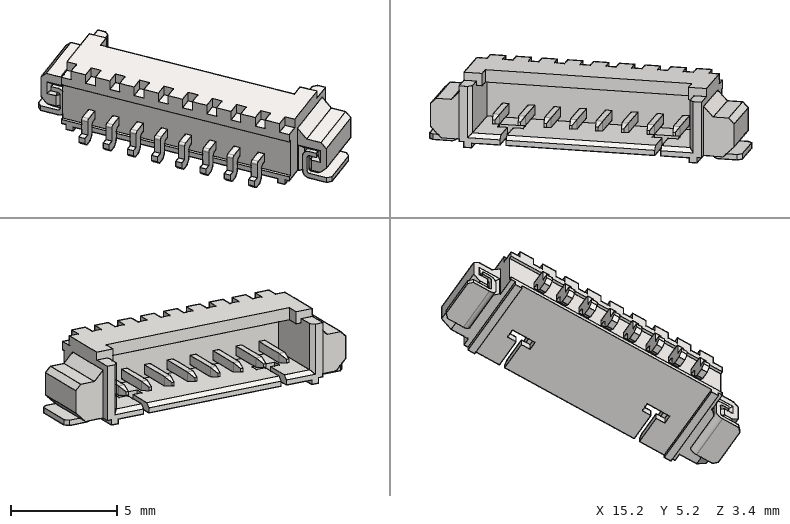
import cadquery as cq


CUT_MARGIN = 0.15
PICK_RADIUS = 0.02

TOTAL_WIDTH = 15.15
BODY_WIDTH = 11.75
BODY_DEPTH = 4.2
BODY_HEIGHT = 3.4
BODY_BOTTOM = 0.23
END_BOTTOM = 0.27
REAR_STEP_Y = 3.21
REAR_STEP_Z = 3.0
FRONT_RECESS = 0.14
UPPER_LIP_Z = 2.48
LOWER_LIP_Z = 0.5

CAVITY_FRONT_Y = 1.06
FLOOR_Z = 0.68
ROOF_UNDERSIDE_Z = 2.79
ROOF_EDGE_Y = 2.56
ROOF_OPENING_WIDTH = 10.0
END_WALL = 0.6
MOUTH_CHAMFER = 0.2

STEM_WIDTH = 0.29
STEM_FRONT_Y = 2.71
WINDOW_FRONT_Y = 2.27

CONTACT_COUNT = 8
PITCH = 1.25
CONTACT_WIDTH = 0.32
BLADE_BOTTOM = 0.9
BLADE_TOP = 1.36
BLADE_SHOULDER_Y = 2.95
BLADE_TIP_Y = 3.48
TIP_WIDTH = 0.12
TIP_HEIGHT = 0.18
TAIL_END_Y = -1.0
LEG_FRONT_Y = -0.68
LEG_BACK_Y = -0.18
TAIL_FOOT_Z = 0.5
TAIL_CHAMFER = 0.21
BEND_OUTER = 0.12
BEND_INNER = 0.17

NOTCH_WIDTH = 0.5
NOTCH_DEPTH_Y = 0.64
NOTCH_DEPTH_Z = 0.48

FOOT_INNER_X = 5.27
FOOT_OUTER_X = 5.65

WING_FRONT_Y = 0.95
WING_BACK_Y = 3.8
WING_OUTER_X = 7.36
WING_TOP = 2.2
WING_ROOT_TOP = 2.68
WING_RAMP_X = 6.35
WING_TOP_CHAMFER = 0.27
WING_SLOPE_Z = 0.8

TAB_BACK_Y = 3.25
TAB_THICKNESS = 0.24
TAB_FOOT_THICKNESS = 0.27
TAB_INNER_X = 6.14
TAB_HOOK_X = 6.85
TAB_HOOK_TOP = 1.52
TAB_BEND_OUTER = 0.35
TAB_BEND_INNER = 0.12
TAB_CORNER_CHAMFER = 0.2
LEAD_IN = 0.21

HALF_BODY = BODY_WIDTH / 2
HALF_TOTAL = TOTAL_WIDTH / 2
HALF_SPAN = (CONTACT_COUNT - 1) * PITCH / 2
contact_positions = [i * PITCH - HALF_SPAN for i in range(CONTACT_COUNT)]


def box(x_range, y_range, z_range):
    """Box given by its low and high limits on each axis."""
    (x0, x1), (y0, y1), (z0, z1) = x_range, y_range, z_range
    return cq.Workplane("XY").box(x1 - x0, y1 - y0, z1 - z0, centered=False).translate((x0, y0, z0))


def edge_near(x, y, z):
    """Selector for the edge whose midpoint lies at the given point."""
    return cq.selectors.BoxSelector(
        (x - PICK_RADIUS, y - PICK_RADIUS, z - PICK_RADIUS),
        (x + PICK_RADIUS, y + PICK_RADIUS, z + PICK_RADIUS),
    )


def both_sides(shape):
    """The +X shape together with its mirror image on -X."""
    return shape.union(shape.mirror("YZ"))


def make_shell():
    """Housing outline with lips and rear step, extruded across the width."""
    side_outline = [
        (0, BODY_BOTTOM),
        (BODY_DEPTH, BODY_BOTTOM),
        (BODY_DEPTH, REAR_STEP_Z),
        (REAR_STEP_Y, REAR_STEP_Z),
        (REAR_STEP_Y, BODY_HEIGHT),
        (0, BODY_HEIGHT),
        (0, UPPER_LIP_Z),
        (FRONT_RECESS, UPPER_LIP_Z),
        (FRONT_RECESS, LOWER_LIP_Z),
        (0, LOWER_LIP_Z),
    ]
    shell = cq.Workplane("YZ").polyline(side_outline).close().extrude(HALF_BODY, both=True)
    end_relief = box(
        (FOOT_OUTER_X, HALF_BODY + CUT_MARGIN),
        (-CUT_MARGIN, BODY_DEPTH + CUT_MARGIN),
        (0, END_BOTTOM),
    )
    foot = box((FOOT_INNER_X, FOOT_OUTER_X), (0, BODY_DEPTH), (0, LOWER_LIP_Z))
    return shell.cut(both_sides(end_relief)).union(both_sides(foot))


def make_cavity():
    """Mating cavity, the opening in the roof, and the flared mouth."""
    half_cavity = HALF_BODY - END_WALL
    rear = BODY_DEPTH + CUT_MARGIN
    above = BODY_HEIGHT + CUT_MARGIN
    half_roof_opening = ROOF_OPENING_WIDTH / 2
    inside = box((-half_cavity, half_cavity), (CAVITY_FRONT_Y, rear), (FLOOR_Z, ROOF_UNDERSIDE_Z))
    roof_opening = box((-half_roof_opening, half_roof_opening), (ROOF_EDGE_Y, rear), (FLOOR_Z, above))
    rear_opening = box((-half_cavity, half_cavity), (REAR_STEP_Y, rear), (FLOOR_Z, above))
    mouth_width = 2 * (half_cavity + MOUTH_CHAMFER)
    mouth_bottom = FLOOR_Z - MOUTH_CHAMFER
    mouth_top = above + MOUTH_CHAMFER
    mouth_flare = (
        cq.Workplane("XZ", origin=(0, BODY_DEPTH, (mouth_bottom + mouth_top) / 2))
        .rect(mouth_width, mouth_top - mouth_bottom)
        .extrude(MOUTH_CHAMFER, taper=45)
    )
    return inside.union(roof_opening).union(rear_opening).union(mouth_flare)


def make_floor_slots():
    """T-shaped slot through the floor between the outermost contact pairs."""
    centre = HALF_SPAN - PITCH / 2
    stem = box(
        (centre - STEM_WIDTH / 2, centre + STEM_WIDTH / 2),
        (STEM_FRONT_Y, BODY_DEPTH + CUT_MARGIN),
        (0, FLOOR_Z),
    )
    window = box((centre - PITCH / 2, centre + PITCH / 2), (WINDOW_FRONT_Y, STEM_FRONT_Y), (0, FLOOR_Z))
    return both_sides(stem.union(window))


def make_notch(x):
    """Notch in the front top edge, centred on x."""
    return box(
        (x - NOTCH_WIDTH / 2, x + NOTCH_WIDTH / 2),
        (-CUT_MARGIN, NOTCH_DEPTH_Y),
        (BODY_HEIGHT - NOTCH_DEPTH_Z, BODY_HEIGHT + CUT_MARGIN),
    )


def make_contact(x):
    """Straight blade with a tapered tip, and a bent tail down to the board."""
    tail_outline = [
        (BLADE_SHOULDER_Y, BLADE_TOP),
        (LEG_FRONT_Y, BLADE_TOP),
        (LEG_FRONT_Y, TAIL_FOOT_Z),
        (TAIL_END_Y, TAIL_FOOT_Z),
        (TAIL_END_Y, 0),
        (LEG_BACK_Y, 0),
        (LEG_BACK_Y, BLADE_BOTTOM),
        (BLADE_SHOULDER_Y, BLADE_BOTTOM),
    ]
    strip = cq.Workplane("YZ").polyline(tail_outline).close().extrude(CONTACT_WIDTH / 2, both=True)
    strip = strip.edges(edge_near(0, LEG_FRONT_Y, BLADE_TOP)).fillet(BEND_OUTER)
    strip = strip.edges(edge_near(0, LEG_BACK_Y, BLADE_BOTTOM)).fillet(BEND_INNER)
    for y in (TAIL_END_Y, LEG_BACK_Y):
        strip = strip.edges(edge_near(0, y, 0)).chamfer(TAIL_CHAMFER)
    blade_centre_z = (BLADE_BOTTOM + BLADE_TOP) / 2
    tip = (
        cq.Workplane("XZ", origin=(0, BLADE_SHOULDER_Y, blade_centre_z))
        .rect(CONTACT_WIDTH, BLADE_TOP - BLADE_BOTTOM)
        .workplane(offset=BLADE_SHOULDER_Y - BLADE_TIP_Y)
        .rect(TIP_WIDTH, TIP_HEIGHT)
        .loft(ruled=True)
    )
    return strip.union(tip).translate((x, 0, 0))


def make_wing():
    """Wing on the +X end, without the opening for its solder tab."""
    slope_run = WING_SLOPE_Z - END_BOTTOM
    outline = [
        (HALF_BODY, END_BOTTOM),
        (WING_OUTER_X - slope_run, END_BOTTOM),
        (WING_OUTER_X, WING_SLOPE_Z),
        (WING_OUTER_X, WING_TOP - WING_TOP_CHAMFER),
        (WING_OUTER_X - WING_TOP_CHAMFER, WING_TOP),
        (WING_RAMP_X, WING_TOP),
        (HALF_BODY, WING_ROOT_TOP),
    ]
    depth = WING_BACK_Y - WING_FRONT_Y
    return cq.Workplane("XZ", origin=(0, WING_FRONT_Y, 0)).polyline(outline).close().extrude(-depth)


def tab_outline(growth=0.0):
    """Closed outline of the hooked solder tab, offset outward by growth."""
    upright_outer_x = TAB_INNER_X + TAB_THICKNESS
    hook_bottom = TAB_HOOK_TOP - TAB_THICKNESS
    points = [
        (TAB_INNER_X - growth, -growth),
        (HALF_TOTAL + growth, -growth),
        (HALF_TOTAL + growth, TAB_FOOT_THICKNESS + growth),
        (upright_outer_x + growth, TAB_FOOT_THICKNESS + growth),
        (upright_outer_x + growth, hook_bottom - growth),
        (TAB_HOOK_X + growth, hook_bottom - growth),
        (TAB_HOOK_X + growth, TAB_HOOK_TOP + growth),
        (TAB_INNER_X - growth, TAB_HOOK_TOP + growth),
    ]
    return cq.Workplane("XZ", origin=(0, WING_FRONT_Y, 0)).polyline(points).close()


def make_tab_opening():
    """Slot for the solder tab with a flared entry at the wing front."""
    slot = tab_outline().extrude(WING_FRONT_Y - TAB_BACK_Y)
    flare = tab_outline(LEAD_IN).extrude(-LEAD_IN, taper=45)
    return slot.union(flare)


def make_solder_tab():
    """Hooked sheet-metal tab with rounded bends and clipped foot corners."""
    tab = tab_outline().extrude(WING_FRONT_Y - TAB_BACK_Y)
    upright_outer_x = TAB_INNER_X + TAB_THICKNESS
    middle_y = (WING_FRONT_Y + TAB_BACK_Y) / 2
    for z in (0, TAB_HOOK_TOP):
        tab = tab.edges(edge_near(TAB_INNER_X, middle_y, z)).fillet(TAB_BEND_OUTER)
    for z in (TAB_FOOT_THICKNESS, TAB_HOOK_TOP - TAB_THICKNESS):
        tab = tab.edges(edge_near(upright_outer_x, middle_y, z)).fillet(TAB_BEND_INNER)
    return tab.faces(">X").edges("|Z").chamfer(TAB_CORNER_CHAMFER)


housing = make_shell().cut(make_cavity()).cut(make_floor_slots())
corner_notch_x = HALF_BODY - NOTCH_WIDTH / 2
for notch_x in [-corner_notch_x, *contact_positions, corner_notch_x]:
    housing = housing.cut(make_notch(notch_x))

wing = make_wing().cut(make_tab_opening()).union(make_solder_tab())
result = housing.union(both_sides(wing))

for contact_x in contact_positions:
    result = result.union(make_contact(contact_x))